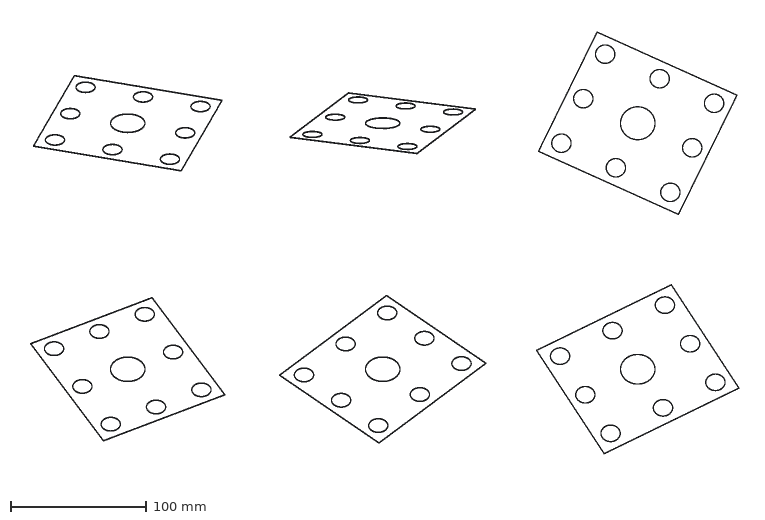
import cadquery as cq

length = 114.3
width = 101.6
thickness = 0.5

center_hole_diameter = 25.4
outer_hole_diameter = 14.2
hole_pitch_x = 44.5
hole_pitch_y = 38.0

outer_hole_centers = [
    (column * hole_pitch_x, row * hole_pitch_y)
    for column in (-1, 0, 1)
    for row in (-1, 0, 1)
    if (column, row) != (0, 0)
]

plate = cq.Workplane("XY").box(length, width, thickness)
plate = plate.faces(">Z").workplane().hole(center_hole_diameter)
result = plate.faces(">Z").workplane().pushPoints(outer_hole_centers).hole(outer_hole_diameter)